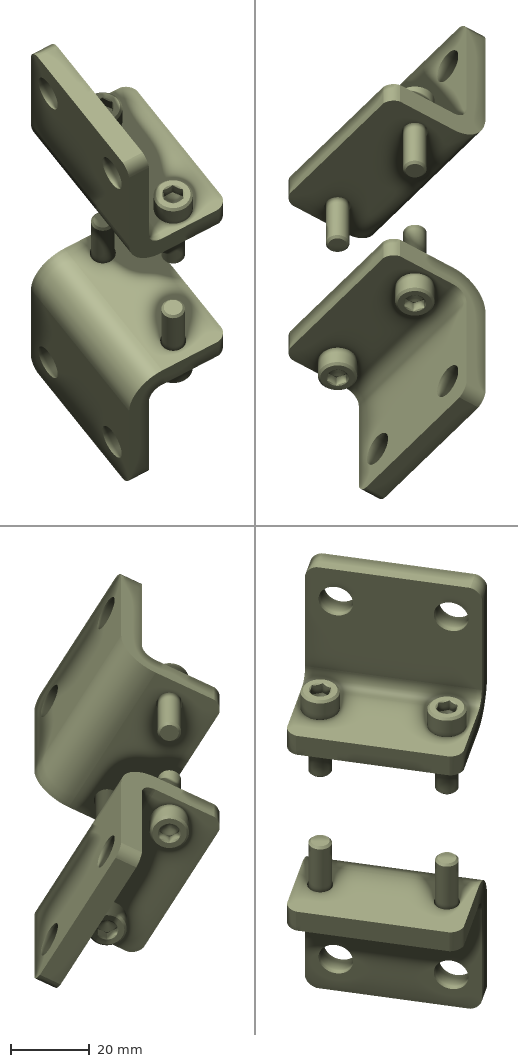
import cadquery as cq
import math

width = 46.0
depth = 30.0
height = 42.0
thickness = 6.0
inner_bend_radius = 4.0
outer_bend_radius = inner_bend_radius + thickness
corner_setback = 3.0
corner_radius = 4.0
bracket_gap = 50.0

mount_hole_diameter = 9.0
mount_hole_spacing = 30.0
mount_hole_edge_distance = 10.0

screw_spacing = 33.0
screw_x_positions = [-screw_spacing / 2, screw_spacing / 2]
screw_y = 17.5
clearance_diameter = 6.6
shank_diameter = 6.0
shank_length = 20.0
tip_chamfer = 0.6
head_diameter = 10.0
head_height = 6.0
head_chamfer = 0.6
seat_chamfer = 0.2
socket_flats = 5.0
socket_corner_diameter = socket_flats / math.cos(math.pi / 6)
socket_depth = 3.0
lead_in_depth = 0.3
drill_point_depth = 1.5

flat_leg_bottom = bracket_gap / 2
flat_leg_top = flat_leg_bottom + thickness
bracket_top = flat_leg_bottom + height
mirror_plane = "XY"


def make_corner_waste(plane, leg_end, plane_offset, extrusion):
    """Material outside the two rounded corners of a leg; the shallow arc meets each edge at a slight angle."""
    right_corner = (
        cq.Workplane(plane)
        .workplane(offset=plane_offset)
        .moveTo(width / 2, leg_end)
        .lineTo(width / 2 - corner_setback, leg_end)
        .radiusArc((width / 2, leg_end - corner_setback), corner_radius)
        .close()
        .extrude(extrusion)
    )
    return right_corner.union(right_corner.mirror("YZ"))


def make_bracket():
    """Upper bracket: flat leg along +Y, upright leg along +Z, bend at the front bottom edge."""
    plate = (
        cq.Workplane("YZ", origin=(-width / 2, 0, 0))
        .moveTo(0, bracket_top)
        .lineTo(0, flat_leg_bottom + outer_bend_radius)
        .radiusArc((outer_bend_radius, flat_leg_bottom), -outer_bend_radius)
        .lineTo(depth, flat_leg_bottom)
        .lineTo(depth, flat_leg_top)
        .lineTo(outer_bend_radius, flat_leg_top)
        .radiusArc((thickness, flat_leg_top + inner_bend_radius), inner_bend_radius)
        .lineTo(thickness, bracket_top)
        .close()
        .extrude(width)
    )
    flat_leg_corners = make_corner_waste("XY", depth, flat_leg_bottom, thickness)
    upright_leg_corners = make_corner_waste("XZ", bracket_top, 0, -thickness)
    plate = plate.cut(flat_leg_corners).cut(upright_leg_corners)

    half_spacing = mount_hole_spacing / 2
    hole_z = bracket_top - mount_hole_edge_distance
    mount_holes = (
        cq.Workplane("XZ")
        .pushPoints([(-half_spacing, hole_z), (half_spacing, hole_z)])
        .circle(mount_hole_diameter / 2)
        .extrude(-thickness)
    )
    clearance_holes = (
        cq.Workplane("XY", origin=(0, 0, flat_leg_bottom))
        .pushPoints([(x, screw_y) for x in screw_x_positions])
        .circle(clearance_diameter / 2)
        .extrude(thickness)
    )
    return plate.cut(mount_holes).cut(clearance_holes)


def make_screw(x):
    """Upper screw: head on top of the flat leg, shank pointing down through it."""
    seat = cq.Workplane("XY", origin=(x, screw_y, flat_leg_top))
    head = seat.circle(head_diameter / 2).extrude(head_height)
    head = head.faces(">Z").edges().chamfer(head_chamfer)
    head = head.faces("<Z").edges().chamfer(seat_chamfer)

    shank = seat.circle(shank_diameter / 2).extrude(-shank_length)
    shank = shank.faces("<Z").edges().chamfer(tip_chamfer)

    head_top = flat_leg_top + head_height
    socket_floor = head_top - socket_depth
    socket = (
        cq.Workplane("XY", origin=(x, screw_y, socket_floor))
        .transformed(rotate=(0, 0, 90))
        .polygon(6, socket_corner_diameter)
        .extrude(socket_depth)
    )
    lead_in = cq.Workplane(
        cq.Solid.makeCone(
            socket_flats / 2, socket_corner_diameter / 2, lead_in_depth,
            cq.Vector(x, screw_y, head_top - lead_in_depth),
        )
    )
    drill_point = cq.Workplane(
        cq.Solid.makeCone(
            0, socket_flats / 2, drill_point_depth,
            cq.Vector(x, screw_y, socket_floor - drill_point_depth),
        )
    )
    socket = socket.union(lead_in).union(drill_point)
    return head.union(shank).cut(socket)


upper_bracket = make_bracket()
lower_bracket = upper_bracket.mirror(mirror_plane)
upper_screws = [make_screw(x) for x in screw_x_positions]
lower_screws = [screw.mirror(mirror_plane) for screw in upper_screws]

bodies = [upper_bracket, lower_bracket, *upper_screws, *lower_screws]
result = cq.Compound.makeCompound([body.val() for body in bodies])